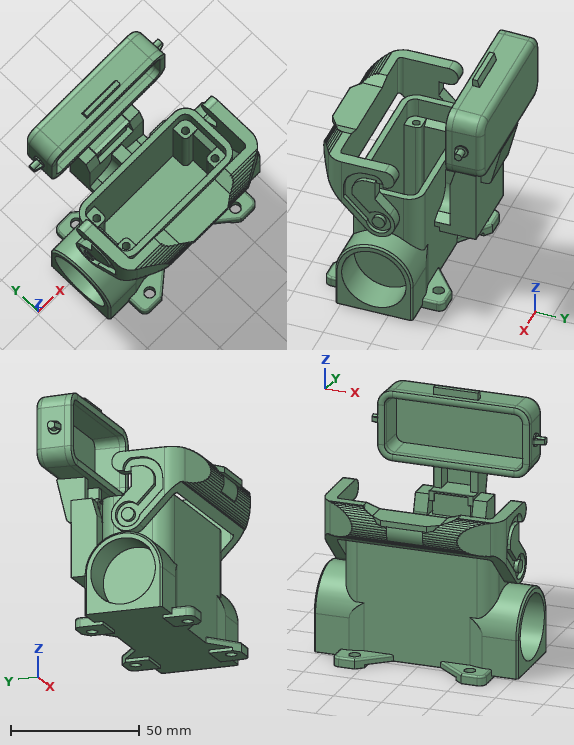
import cadquery as cq
import math

DIAGONAL = math.sqrt(0.5)

BODY_HALF_X = 31.6
BODY_HALF_Y = 14.8
BODY_BOTTOM = 1.3
BODY_TOP = 51.9
BODY_CORNER = 6.6
WALL = 2.8
CAVITY_HALF_X = BODY_HALF_X - WALL
CAVITY_HALF_Y = 12.1
CAVITY_CORNER = 3.4
CAVITY_FLOOR = BODY_BOTTOM + WALL

POST_TOP = 43.5
POST_HALF_X = 21.9
POST_HALF_Y = 5.2
POST_ROUND = 2
POST_HOLE_X = 24.8
POST_HOLE_Y = 8
POST_HOLE_R = 1.5
POST_HOLE_DEPTH = 15.1
RAMP_HALF_X = 26.1
RAMP_DROP = 2

ENTRY_END = 85.0 / 2
ENTRY_R = 16.2
ENTRY_AXIS_Z = 17.5
ENTRY_CHAMFER = 0.8
ENTRY_TAPER_OUTER_X = 27.7
ENTRY_TAPER_INNER_X = 22.1
BORE_R = 13.5
BORE_DEPTH = ENTRY_END - CAVITY_HALF_X

FOOT_TOP = 4
FOOT_END_Y = 24.9
FOOT_TIP_X = 22.2
FOOT_ROOT_X = 9.8
FOOT_CORNER = 2.8
FOOT_EDGE_ROUND = 0.8
FOOT_HOLE_X = 24.0
FOOT_HOLE_Y = 20.0
FOOT_HOLE_R = 4.5 / 2
PAD_INNER_X = 19.1
PAD_INNER_Y = 12.5

HINGE_HALF_X = 15.0
HINGE_FRONT_Y = 21.4
HINGE_BACK_Y = 32.1
HINGE_BOTTOM = 26.0
HINGE_TOP = 57.4
HINGE_TOP_FRONT_Y = 23.5
HINGE_SHOULDER_Z = 50.3
LEDGE_Z = 49.2
BASE_TOP = 30.1
BASE_STEP_Y = 16.9
BASE_STEP_Z = 27.9
WEB_TOP = 46.9
WEB_HALF_X = 2.8
WEB_FILLET_R = 8
WEB_FOOT_Z = 32.4

COVER_FRONT_Y = 25.5
COVER_BACK_Y = 41.1
COVER_BOTTOM = 68.2
COVER_TOP = 97.4
COVER_CORNER = 6.3
RIM_CROWN = 0.4
COVER_DRAFT = 1.5
COVER_BACK_FILLET = 2.7
COVER_FLOOR_Y = 38.7
COVER_LIP_Y = 28.5
COVER_MID_Z = (COVER_BOTTOM + COVER_TOP) / 2
PEG_END = 35.9
PEG_R = 1.5
PEG_COLLAR_R = 2.6
PEG_RIB_HALF_Z = 1
PEG_COLLAR_END = 32.1
PEG_Y = 32.6
PEG_Z = 82.4
TAB_HALF_X = 9.2
TAB_TOP = 100.4
TAB_TOP_BACK_Y = 30.5
TAB_ROOT_BACK_Y = 31.4

ARM_TOP_Z = 58.5
ARM_FRONT_Y = 23.7
ARM_FOOT_HALF_X = 7.8
ARM_FOOT_BACK_Y = 27.1
ARM_HALF_X = TAB_HALF_X
ARM_HEEL_Y = 35.9
ARM_BACK_Y = 40.4
ARM_ROUND = 2.2
LEG_INNER_X = 6
LEG_POCKET_Y = 35.3
NIB_Y = 23.1
NIB_BACK_Y = 25.0
NIB_TOP = 58.9
NIB_BOTTOM = 58.2
NIB_TAB_BOTTOM = 54.9
NIB_TAB_WIDTH = 2.2

LEVER_HALF_X = 37.5
LEVER_INNER_X = 32.3
LEVER_INNER_Y = -18.2
LEVER_INNER_ROUND = 1.6
LEVER_CORNER = 7.9
LEVER_CORNER_Y = -15.5
LEVER_TOP = 67.9
PIVOT_Z = 42.2
EYE_R = 6.8
EYE_RECESS_R = 5.1
PIVOT_R = 2.6
WASHER_R = 3.8
NOSE_R = 3.9
NOSE_Y = 2.7
HOOK_Y = -1.5
GRIP_R = 7
GRIP_Y = -21.9
GRIP_Z = LEVER_TOP - GRIP_R
GRIP_FLAT_ANGLE = 29
TRACK_DEPTH = 1.8
TRACK_Y = -5.1
TRACK_Z = 55.3
TRACK_OUTER_R = 9.5
TRACK_INNER_R = 5.9
TRACK_WIDTH = 4.2
TRACK_END_Y = 1.9
TRACK_END_MIDDLE = (1, 63.3)

LIP_FRONT_Y = -29.9
LIP_BOTTOM = 63.6
LIP_TOP = 66.0
LIP_FRONT_HALF_X = 9.5
LIP_HALF_X = 14.2
LIP_SIDE_Y = -26.6
SCOOP_HALF_X = 19.7
SMOOTH_HALF_X = 7.5
SMOOTH_BOTTOM = 56.8
BEAD_COUNT = 21
BEAD_R = 0.7


def block(x0, x1, y0, y1, z0, z1):
    return cq.Workplane("XY").box(x1 - x0, y1 - y0, z1 - z0, centered=False).translate((x0, y0, z0))


def upright(x, y, radius, z0, z1):
    return cq.Workplane("XY").center(x, y).circle(radius).extrude(z1 - z0).translate((0, 0, z0))


def crosswise(y, z, radius, x0, x1):
    """Cylinder along X."""
    return cq.Workplane("YZ").center(y, z).circle(radius).extrude(x1 - x0).translate((x0, 0, 0))


def side_profile(points, half_x):
    """Polygon of (y, z) points spread evenly to both sides of X = 0."""
    return cq.Workplane("YZ").polyline(points).close().extrude(half_x, both=True)


def both_ends(shape):
    return shape.union(shape.mirror("YZ"))


def four_corners(shape):
    pair = both_ends(shape)
    return pair.union(pair.mirror("XZ"))


def cable_entries():
    arch = (
        cq.Workplane("YZ")
        .moveTo(-ENTRY_R, BODY_BOTTOM)
        .lineTo(-ENTRY_R, ENTRY_AXIS_Z)
        .threePointArc((0, ENTRY_AXIS_Z + ENTRY_R), (ENTRY_R, ENTRY_AXIS_Z))
        .lineTo(ENTRY_R, BODY_BOTTOM)
        .close()
        .extrude(ENTRY_END, both=True)
    )
    arch = arch.faces("<X or >X").edges("not <Z").chamfer(ENTRY_CHAMFER)
    quarter_plan = [
        (0, 0),
        (ENTRY_END, 0),
        (ENTRY_END, ENTRY_R),
        (ENTRY_TAPER_OUTER_X, ENTRY_R),
        (ENTRY_TAPER_INNER_X, BODY_HALF_Y),
        (0, BODY_HALF_Y),
    ]
    plan = cq.Workplane("XY").polyline(quarter_plan).close().extrude(BODY_TOP)
    return arch.intersect(four_corners(plan))


def feet():
    outline = [
        (BODY_HALF_X, 0),
        (BODY_HALF_X, FOOT_END_Y),
        (FOOT_TIP_X, FOOT_END_Y),
        (FOOT_ROOT_X, BODY_HALF_Y),
        (FOOT_ROOT_X, 0),
    ]
    foot = cq.Workplane("XY").polyline(outline).close().extrude(FOOT_TOP)
    foot = foot.edges("|Z and >X and >Y").fillet(FOOT_CORNER)
    foot = foot.faces(">Z").edges().fillet(FOOT_EDGE_ROUND)
    pad = block(PAD_INNER_X, BODY_HALF_X, PAD_INNER_Y, FOOT_END_Y, 0, BODY_BOTTOM)
    raised = block(0, BODY_HALF_X, 0, FOOT_END_Y, BODY_BOTTOM, FOOT_TOP)
    foot = foot.intersect(pad.union(raised))
    return four_corners(foot)


def cavity():
    space = block(
        -CAVITY_HALF_X, CAVITY_HALF_X, -CAVITY_HALF_Y, CAVITY_HALF_Y, CAVITY_FLOOR, BODY_TOP
    )
    space = space.edges("|Z").fillet(CAVITY_CORNER)
    post = block(POST_HALF_X, BODY_HALF_X, POST_HALF_Y, BODY_HALF_Y, 0, POST_TOP)
    post = post.edges("|Z and <X and <Y").fillet(POST_ROUND)
    post = post.cut(upright(POST_HOLE_X, POST_HOLE_Y, POST_HOLE_R, POST_TOP - POST_HOLE_DEPTH, POST_TOP))
    ramp_outline = [
        (RAMP_HALF_X, 0),
        (RAMP_HALF_X, POST_TOP - RAMP_DROP),
        (CAVITY_HALF_X, POST_TOP),
        (CAVITY_HALF_X, 0),
    ]
    ramp = cq.Workplane("XZ").polyline(ramp_outline).close().extrude(POST_HALF_Y, both=True)
    return space.cut(four_corners(post)).cut(both_ends(ramp))


def housing():
    body = block(-BODY_HALF_X, BODY_HALF_X, -BODY_HALF_Y, BODY_HALF_Y, BODY_BOTTOM, BODY_TOP)
    body = body.edges("|Z").fillet(BODY_CORNER)
    body = body.union(cable_entries()).union(feet()).cut(cavity())
    bore = crosswise(0, ENTRY_AXIS_Z, BORE_R, ENTRY_END - BORE_DEPTH, ENTRY_END)
    foot_hole = upright(FOOT_HOLE_X, FOOT_HOLE_Y, FOOT_HOLE_R, 0, FOOT_TOP)
    return body.cut(both_ends(bore)).cut(four_corners(foot_hole))


def hinge_bracket():
    bracket = side_profile(
        [
            (HINGE_BACK_Y, HINGE_BOTTOM),
            (HINGE_BACK_Y, HINGE_TOP),
            (HINGE_TOP_FRONT_Y, HINGE_TOP),
            (HINGE_FRONT_Y, HINGE_SHOULDER_Z),
            (HINGE_FRONT_Y, BASE_TOP),
            (BODY_HALF_Y, BASE_TOP),
            (BODY_HALF_Y, BASE_STEP_Z),
            (BASE_STEP_Y, BASE_STEP_Z),
            (BASE_STEP_Y, HINGE_BOTTOM),
        ],
        HINGE_HALF_X,
    )
    gap = block(-ARM_HALF_X, ARM_HALF_X, HINGE_FRONT_Y, HINGE_BACK_Y, LEDGE_Z, HINGE_TOP)
    fillet_z = WEB_FOOT_Z + WEB_FILLET_R
    fillet_x = WEB_HALF_X + WEB_FILLET_R
    diagonal = WEB_FILLET_R * DIAGONAL
    web = (
        cq.Workplane("XZ")
        .moveTo(0, BASE_TOP)
        .lineTo(0, WEB_TOP)
        .lineTo(WEB_HALF_X, WEB_TOP)
        .lineTo(WEB_HALF_X, fillet_z)
        .threePointArc((fillet_x - diagonal, fillet_z - diagonal), (fillet_x, WEB_FOOT_Z))
        .lineTo(HINGE_HALF_X, BASE_TOP)
        .close()
        .extrude(-(HINGE_FRONT_Y - BODY_HALF_Y))
        .translate((0, BODY_HALF_Y, 0))
    )
    return bracket.cut(gap).union(both_ends(web))


def cover_rim():
    """Crowned rim: a shallow arc across the wall, swept round the opening."""
    half_x = BODY_HALF_X - WALL / 2
    half_z = (COVER_TOP - COVER_BOTTOM - WALL) / 2
    base_y = COVER_FRONT_Y + RIM_CROWN
    path = (
        cq.Workplane("XZ", origin=(0, base_y, COVER_MID_Z))
        .rect(2 * half_x, 2 * half_z)
        .extrude(1)
        .edges("|Y")
        .fillet(COVER_CORNER - WALL / 2)
        .faces(">Y")
        .wires()
    )
    section = (
        cq.Workplane("YZ", origin=(0, base_y, COVER_MID_Z + half_z))
        .moveTo(0, -WALL / 2)
        .threePointArc((-RIM_CROWN, 0), (0, WALL / 2))
        .close()
    )
    return section.sweep(path)


def cover_loop(inset, start_y, depth, draft):
    """Rounded block as large as the cover less an inset, narrowing towards +Y by the draft angle."""
    return (
        cq.Workplane("XZ", origin=(0, start_y, COVER_MID_Z))
        .sketch()
        .rect(2 * (BODY_HALF_X - inset), COVER_TOP - COVER_BOTTOM - 2 * inset)
        .vertices()
        .fillet(COVER_CORNER - inset)
        .finalize()
        .extrude(-depth, taper=draft)
    )


def cover_shell():
    rim_y = COVER_FRONT_Y + RIM_CROWN
    lip_depth = COVER_LIP_Y - rim_y
    shell = cover_loop(0, COVER_LIP_Y, COVER_BACK_Y - COVER_LIP_Y, COVER_DRAFT)
    shell = shell.faces(">Y").edges().fillet(COVER_BACK_FILLET)
    lip = cover_loop(0, rim_y, lip_depth, 0)
    lip_opening = cover_loop(WALL, rim_y, lip_depth, 0)
    hollow = cover_loop(WALL, COVER_LIP_Y, COVER_FLOOR_Y - COVER_LIP_Y, COVER_DRAFT)
    return shell.union(lip).cut(lip_opening).cut(hollow).union(cover_rim())


def cover_pegs():
    peg = crosswise(PEG_Y, PEG_Z, PEG_R, CAVITY_HALF_X, PEG_END)
    collar = crosswise(PEG_Y, PEG_Z, PEG_COLLAR_R, CAVITY_HALF_X, PEG_COLLAR_END)
    rib_outline = [
        (CAVITY_HALF_X, PEG_Y),
        (PEG_END, PEG_Y),
        (PEG_END, PEG_Y - PEG_R),
        (PEG_COLLAR_END, PEG_Y - PEG_COLLAR_R),
        (CAVITY_HALF_X, PEG_Y - PEG_COLLAR_R),
    ]
    rib = cq.Workplane("XY").polyline(rib_outline).close().extrude(PEG_RIB_HALF_Z, both=True)
    return both_ends(peg.union(collar).union(rib.translate((0, 0, PEG_Z))))


def cover_tab():
    root_z = COVER_TOP - WALL / 2
    return side_profile(
        [
            (COVER_LIP_Y, root_z),
            (COVER_LIP_Y, TAB_TOP),
            (TAB_TOP_BACK_Y, TAB_TOP),
            (TAB_ROOT_BACK_Y, COVER_TOP),
            (TAB_ROOT_BACK_Y, root_z),
        ],
        TAB_HALF_X,
    )


def cover_arm():
    root_z = COVER_BOTTOM + WALL / 2
    arm = side_profile(
        [
            (COVER_LIP_Y, root_z),
            (COVER_LIP_Y, ARM_TOP_Z),
            (ARM_FRONT_Y, ARM_TOP_Z),
            (ARM_FRONT_Y, LEDGE_Z),
            (HINGE_BACK_Y, LEDGE_Z),
            (HINGE_BACK_Y, HINGE_SHOULDER_Z),
            (ARM_HEEL_Y, HINGE_SHOULDER_Z),
            (ARM_BACK_Y, COVER_BOTTOM),
            (COVER_FLOOR_Y, root_z),
        ],
        ARM_HALF_X,
    )
    heel = cq.selectors.NearestToPointSelector((0, ARM_HEEL_Y, HINGE_SHOULDER_Z))
    arm = arm.edges(heel).fillet(ARM_ROUND)
    pocket = block(-LEG_INNER_X, LEG_INNER_X, COVER_LIP_Y, LEG_POCKET_Y, ARM_TOP_Z, COVER_BOTTOM)
    nib = side_profile(
        [
            (NIB_BACK_Y, ARM_TOP_Z),
            (NIB_Y, NIB_TOP),
            (NIB_Y, NIB_BOTTOM),
            (NIB_BACK_Y, NIB_BOTTOM),
        ],
        ARM_HALF_X,
    )
    nib_tab = block(
        ARM_HALF_X - NIB_TAB_WIDTH, ARM_HALF_X, NIB_Y, ARM_FRONT_Y, NIB_TAB_BOTTOM, ARM_TOP_Z
    )
    side_notch = block(
        ARM_FOOT_HALF_X, ARM_HALF_X, ARM_FRONT_Y, ARM_FOOT_BACK_Y, LEDGE_Z, NIB_TAB_BOTTOM
    )
    return arm.cut(pocket).cut(both_ends(side_notch)).union(nib).union(both_ends(nib_tab))


def lever_side():
    """Side outline of the lever: eye, hook with rounded nose, and the round grip."""
    eye_d = EYE_R * DIAGONAL
    nose_bottom = LEVER_TOP - 2 * NOSE_R
    tangent_rise = EYE_R / DIAGONAL
    grip_bottom = GRIP_Z - GRIP_R
    return (
        cq.Workplane("YZ")
        .moveTo(eye_d, PIVOT_Z + eye_d)
        .lineTo(HOOK_Y, PIVOT_Z + tangent_rise - HOOK_Y)
        .lineTo(HOOK_Y, nose_bottom)
        .lineTo(NOSE_Y, nose_bottom)
        .threePointArc((NOSE_Y + NOSE_R, nose_bottom + NOSE_R), (NOSE_Y, LEVER_TOP))
        .lineTo(GRIP_Y, LEVER_TOP)
        .threePointArc((GRIP_Y - GRIP_R, GRIP_Z), (GRIP_Y, grip_bottom))
        .lineTo(PIVOT_Z - tangent_rise - grip_bottom, grip_bottom)
        .lineTo(-eye_d, PIVOT_Z - eye_d)
        .threePointArc((eye_d, PIVOT_Z - eye_d), (eye_d, PIVOT_Z + eye_d))
        .close()
        .extrude(LEVER_HALF_X, both=True)
    )


def lever_plan():
    """Bow seen from above: two straight sides, round corners, slanted flats, straight front."""
    angle = math.radians(GRIP_FLAT_ANGLE)
    centre_x = LEVER_HALF_X - LEVER_CORNER
    front = GRIP_Y - GRIP_R

    def on_corner(turn):
        return (centre_x + LEVER_CORNER * math.cos(turn), LEVER_CORNER_Y - LEVER_CORNER * math.sin(turn))

    flat_start_turn = math.pi / 2 - angle
    flat_x, flat_y = on_corner(flat_start_turn)
    flat_end_x = flat_x - (flat_y - front) / math.tan(angle)
    back = EYE_R + NOSE_R
    half = (
        cq.Workplane("XY")
        .moveTo(0, LEVER_INNER_Y)
        .lineTo(0, front)
        .lineTo(flat_end_x, front)
        .lineTo(flat_x, flat_y)
        .threePointArc(on_corner(flat_start_turn / 2), (LEVER_HALF_X, LEVER_CORNER_Y))
        .lineTo(LEVER_HALF_X, back)
        .lineTo(LEVER_INNER_X, back)
        .lineTo(LEVER_INNER_X, LEVER_INNER_Y)
        .close()
        .extrude(LEVER_TOP)
    )
    inner_corner = cq.selectors.NearestToPointSelector((LEVER_INNER_X, LEVER_INNER_Y, LEVER_TOP / 2))
    return both_ends(half.edges(inner_corner).fillet(LEVER_INNER_ROUND))


def lever_scoop():
    """Hollow above the thumb lip, with sloping ends."""
    outline = [
        (-SCOOP_HALF_X, LEVER_TOP),
        (-LIP_HALF_X, LIP_TOP),
        (LIP_HALF_X, LIP_TOP),
        (SCOOP_HALF_X, LEVER_TOP),
    ]
    return cq.Workplane("XZ").polyline(outline).close().extrude(-LIP_FRONT_Y)


def thumb_lip():
    outline = [
        (-LIP_HALF_X, LEVER_INNER_Y),
        (-LIP_HALF_X, LIP_SIDE_Y),
        (-LIP_FRONT_HALF_X, LIP_FRONT_Y),
        (LIP_FRONT_HALF_X, LIP_FRONT_Y),
        (LIP_HALF_X, LIP_SIDE_Y),
        (LIP_HALF_X, LEVER_INNER_Y),
    ]
    lip = cq.Workplane("XY").polyline(outline).close().extrude(LIP_TOP - LIP_BOTTOM)
    return lip.translate((0, 0, LIP_BOTTOM))


def grip_serrations():
    """Sleeve round the front of the grip less a row of beads along X; the smooth centre stays."""
    sleeve = crosswise(GRIP_Y, GRIP_Z, GRIP_R + BEAD_R, -LEVER_HALF_X, LEVER_HALF_X)
    sleeve = sleeve.cut(crosswise(GRIP_Y, GRIP_Z, GRIP_R - BEAD_R, -LEVER_HALF_X, LEVER_HALF_X))
    front_y = GRIP_Y - GRIP_R - BEAD_R
    sleeve = sleeve.intersect(
        block(-LEVER_HALF_X, LEVER_HALF_X, front_y, GRIP_Y, GRIP_Z - 2 * GRIP_R, GRIP_Z + 2 * GRIP_R)
    )
    for i in range(BEAD_COUNT):
        angle = math.radians(90 - (i + 0.5) * 180 / BEAD_COUNT)
        y = GRIP_Y - (GRIP_R - BEAD_R) * math.cos(angle)
        z = GRIP_Z + (GRIP_R - BEAD_R) * math.sin(angle)
        sleeve = sleeve.cut(crosswise(y, z, BEAD_R, -LEVER_HALF_X, LEVER_HALF_X))
    smooth = block(-SMOOTH_HALF_X, SMOOTH_HALF_X, front_y, GRIP_Y, SMOOTH_BOTTOM, LEVER_TOP)
    return sleeve.cut(smooth)


def lever_track():
    """Recess in the outer side of each lever arm: round the eye, up a diagonal and over the hook."""
    drop = TRACK_WIDTH * DIAGONAL
    outer_y = TRACK_Y - TRACK_OUTER_R
    inner_y = TRACK_Y - TRACK_INNER_R
    outer_top = TRACK_Z + TRACK_OUTER_R
    inner_top = TRACK_Z + TRACK_INNER_R
    nose_bottom = LEVER_TOP - 2 * NOSE_R
    outer_d = TRACK_OUTER_R * DIAGONAL
    inner_d = TRACK_INNER_R * DIAGONAL
    band = (
        cq.Workplane("YZ")
        .moveTo(0, PIVOT_Z)
        .lineTo(-drop, PIVOT_Z - drop)
        .lineTo(outer_y, PIVOT_Z - 2 * drop - outer_y)
        .lineTo(outer_y, TRACK_Z)
        .threePointArc((TRACK_Y - outer_d, TRACK_Z + outer_d), (TRACK_Y, outer_top))
        .lineTo(HOOK_Y, outer_top)
        .threePointArc(TRACK_END_MIDDLE, (TRACK_END_Y, nose_bottom))
        .lineTo(HOOK_Y, nose_bottom)
        .lineTo(HOOK_Y, inner_top)
        .lineTo(TRACK_Y, inner_top)
        .threePointArc((TRACK_Y - inner_d, TRACK_Z + inner_d), (inner_y, TRACK_Z))
        .lineTo(inner_y, PIVOT_Z - inner_y)
        .close()
        .extrude(TRACK_DEPTH)
        .translate((LEVER_HALF_X - TRACK_DEPTH, 0, 0))
    )
    eye = crosswise(0, PIVOT_Z, EYE_RECESS_R, LEVER_HALF_X - TRACK_DEPTH, LEVER_HALF_X)
    return both_ends(band.union(eye))


def lever():
    bow = lever_side().intersect(lever_plan())
    return bow.cut(grip_serrations()).cut(lever_scoop()).cut(lever_track()).union(thumb_lip())


def pivots():
    pin = crosswise(0, PIVOT_Z, PIVOT_R, CAVITY_HALF_X, LEVER_HALF_X)
    washer = crosswise(0, PIVOT_Z, WASHER_R, CAVITY_HALF_X, LEVER_INNER_X)
    return both_ends(pin.union(washer))


cover = cover_shell().union(cover_pegs()).union(cover_tab()).union(cover_arm())
result = housing().union(hinge_bracket()).union(cover).union(pivots()).union(lever())